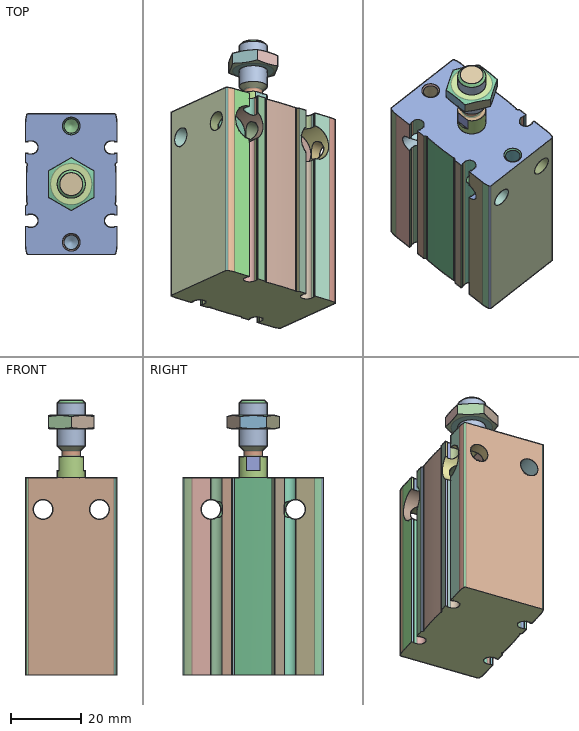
import cadquery as cq
import math


WIDTH = 26.0
LENGTH = 40.0
HOUSING_HEIGHT = 56.0
TOTAL_HEIGHT = 78.0
HALF_WIDTH = WIDTH / 2
HALF_LENGTH = LENGTH / 2

CORNER_RADIUS = 0.5
END_CURVE_START_Y = 17.4
END_CURVE_DROP = 0.3
PANEL_HALF_LENGTH = 5.35
PANEL_DEPTH = 0.22
PANEL_EDGE_DEPTH = 0.38
GROOVE_LEDGE_Y = 5.85
GROOVE_LEDGE_DEPTH = 0.4
GROOVE_OUTER_Y = 6.2
GROOVE_DEPTH = 0.55

SLOT_Y = 10.4
SLOT_DIAMETER = 3.6
SLOT_DEPTH = 3.55
SLOT_MOUTH = 3.2
SLOT_LIP = 0.75

CROSS_HOLE_DIAMETER = 5.5
CROSS_HOLE_Z = 47.0
FRONT_HOLE_X = 8.0
SIDE_HOLE_Y = 12.0
COUNTERBORE_DIAMETER = 10.0
COUNTERBORE_DEPTH = 8.0

TAP_HOLE_Y = 16.5
TAP_DIAMETER = 4.13
TAP_MOUTH_DIAMETER = 5.0
TAP_DEPTH = 6.0
DRILL_POINT_ANGLE = 118.0

ROD_DIAMETER = 8.0
TIP_DIAMETER = 6.5
NECK_DIAMETER = 5.33
NECK_FILLET = 0.2
SHOULDER_Z = 62.0
CONE_TOP_Z = 65.0
FLATS_WIDTH = 7.0
FLATS_HEIGHT = 4.0

NUT_ACROSS_FLATS = 13.0
NUT_THICKNESS = 4.0
NUT_BOTTOM_Z = 69.8
NUT_FACE_DIAMETER = 0.9 * NUT_ACROSS_FLATS
NUT_CHAMFER_ANGLE = 15.0


def housing_outline():
    """Half outline on the +X side, running from -Y to +Y, closed by mirroring to -X."""
    end_x = HALF_WIDTH - END_CURVE_DROP
    end_y = HALF_LENGTH - CORNER_RADIUS
    curve_length = end_y - END_CURVE_START_Y
    curve_middle = (HALF_WIDTH - END_CURVE_DROP / 4, END_CURVE_START_Y + curve_length / 2)
    ledge_x = HALF_WIDTH - GROOVE_LEDGE_DEPTH
    groove_x = HALF_WIDTH - GROOVE_DEPTH
    panel_edge_x = HALF_WIDTH - PANEL_EDGE_DEPTH
    corner_x = end_x - CORNER_RADIUS
    return (
        cq.Workplane("XY")
        .moveTo(0, -HALF_LENGTH)
        .lineTo(corner_x, -HALF_LENGTH)
        .radiusArc((end_x, -end_y), -CORNER_RADIUS)
        .threePointArc((curve_middle[0], -curve_middle[1]), (HALF_WIDTH, -END_CURVE_START_Y))
        .lineTo(HALF_WIDTH, -GROOVE_OUTER_Y)
        .lineTo(ledge_x, -GROOVE_LEDGE_Y)
        .lineTo(groove_x, -PANEL_HALF_LENGTH)
        .lineTo(panel_edge_x, -PANEL_HALF_LENGTH)
        .threePointArc((HALF_WIDTH - PANEL_DEPTH, 0), (panel_edge_x, PANEL_HALF_LENGTH))
        .lineTo(groove_x, PANEL_HALF_LENGTH)
        .lineTo(ledge_x, GROOVE_LEDGE_Y)
        .lineTo(HALF_WIDTH, GROOVE_OUTER_Y)
        .lineTo(HALF_WIDTH, END_CURVE_START_Y)
        .threePointArc(curve_middle, (end_x, end_y))
        .radiusArc((corner_x, HALF_LENGTH), -CORNER_RADIUS)
        .lineTo(0, HALF_LENGTH)
        .mirrorY()
    )


def sensor_slot(side, y):
    """Round-bottomed slot along the full height; side is +1 or -1 for the X face."""
    radius = SLOT_DIAMETER / 2
    round_x = HALF_WIDTH - SLOT_DEPTH + radius
    lip_x = HALF_WIDTH - SLOT_LIP
    channel_length = lip_x - round_x
    round_bottom = cq.Workplane("XY").center(side * round_x, y).circle(radius).extrude(HOUSING_HEIGHT)
    channel = (
        cq.Workplane("XY")
        .center(side * (round_x + channel_length / 2), y)
        .rect(channel_length, SLOT_DIAMETER)
        .extrude(HOUSING_HEIGHT)
    )
    mouth_length = HALF_WIDTH - round_x
    mouth = (
        cq.Workplane("XY")
        .center(side * (round_x + mouth_length / 2), y)
        .rect(mouth_length, SLOT_MOUTH)
        .extrude(HOUSING_HEIGHT)
    )
    return round_bottom.union(channel).union(mouth)


def front_hole(x):
    """Through hole along Y."""
    return (
        cq.Workplane("XZ", origin=(x, HALF_LENGTH, CROSS_HOLE_Z))
        .circle(CROSS_HOLE_DIAMETER / 2)
        .extrude(LENGTH)
    )


def side_hole(y):
    """Through hole along X, counterbored from the -X face."""
    start = cq.Workplane("YZ", origin=(-HALF_WIDTH, y, CROSS_HOLE_Z))
    bore = start.circle(CROSS_HOLE_DIAMETER / 2).extrude(WIDTH)
    counterbore = start.circle(COUNTERBORE_DIAMETER / 2).extrude(COUNTERBORE_DEPTH)
    return bore.union(counterbore)


def tapped_hole(y):
    """Blind hole with a drill point and a 45 degree mouth, revolved about its own axis."""
    radius = TAP_DIAMETER / 2
    mouth_radius = TAP_MOUTH_DIAMETER / 2
    point_depth = radius / math.tan(math.radians(DRILL_POINT_ANGLE / 2))
    profile = [
        (0, 0),
        (mouth_radius, 0),
        (radius, radius - mouth_radius),
        (radius, -TAP_DEPTH),
        (0, -TAP_DEPTH - point_depth),
    ]
    hole = cq.Workplane("XZ").polyline(profile).close().revolve(360, (0, 0), (0, 1))
    return hole.translate((0, y, HOUSING_HEIGHT))


def make_housing():
    body = housing_outline().extrude(HOUSING_HEIGHT)
    for y_side in (-1, 1):
        for x_side in (-1, 1):
            body = body.cut(sensor_slot(x_side, y_side * SLOT_Y))
        body = body.cut(front_hole(y_side * FRONT_HOLE_X))
        body = body.cut(side_hole(y_side * SIDE_HOLE_Y))
        body = body.cut(tapped_hole(y_side * TAP_HOLE_Y))
    return body


def make_rod():
    """Rod standing on the housing, with a filleted neck, wrench flats and a threaded end."""
    radius = ROD_DIAMETER / 2
    neck_radius = NECK_DIAMETER / 2
    tip_radius = TIP_DIAMETER / 2
    neck_top_z = CONE_TOP_Z - (radius - neck_radius)
    profile = [
        (0, HOUSING_HEIGHT),
        (radius, HOUSING_HEIGHT),
        (radius, SHOULDER_Z),
        (neck_radius, SHOULDER_Z),
        (neck_radius, neck_top_z),
        (radius, CONE_TOP_Z),
        (radius, TOTAL_HEIGHT - (radius - tip_radius)),
        (tip_radius, TOTAL_HEIGHT),
        (0, TOTAL_HEIGHT),
    ]
    rod = cq.Workplane("XZ").polyline(profile).close().revolve(360, (0, 0), (0, 1))
    neck_middle = (0, 0, (SHOULDER_Z + neck_top_z) / 2)
    neck_edges = rod.faces(cq.selectors.NearestToPointSelector(neck_middle)).edges("%CIRCLE")
    rod = neck_edges.fillet(NECK_FILLET)
    for side in (-1, 1):
        flat_cut = cq.Workplane("XY").box(ROD_DIAMETER, 2 * ROD_DIAMETER, FLATS_HEIGHT)
        flat_x = side * (FLATS_WIDTH + ROD_DIAMETER) / 2
        rod = rod.cut(flat_cut.translate((flat_x, 0, SHOULDER_Z - FLATS_HEIGHT / 2)))
    return rod


def make_nut():
    """Hexagon nut, corners on the Y axis, with both faces cut back to a cone."""
    corner_radius = NUT_ACROSS_FLATS / math.sqrt(3)
    face_radius = NUT_FACE_DIAMETER / 2
    corner_drop = (corner_radius - face_radius) * math.tan(math.radians(NUT_CHAMFER_ANGLE))
    top_z = NUT_BOTTOM_Z + NUT_THICKNESS
    hexagon = (
        cq.Workplane("XY", origin=(0, 0, NUT_BOTTOM_Z))
        .polygon(6, 2 * corner_radius)
        .extrude(NUT_THICKNESS)
        .rotate((0, 0, 0), (0, 0, 1), 90)
    )
    cone_profile = [
        (0, NUT_BOTTOM_Z),
        (face_radius, NUT_BOTTOM_Z),
        (corner_radius, NUT_BOTTOM_Z + corner_drop),
        (corner_radius, top_z - corner_drop),
        (face_radius, top_z),
        (0, top_z),
    ]
    envelope = cq.Workplane("XZ").polyline(cone_profile).close().revolve(360, (0, 0), (0, 1))
    thread_bore = (
        cq.Workplane("XY", origin=(0, 0, NUT_BOTTOM_Z))
        .circle(ROD_DIAMETER / 2)
        .extrude(NUT_THICKNESS)
    )
    return hexagon.intersect(envelope).cut(thread_bore)


housing = make_housing()
rod = make_rod()
nut = make_nut()

result = cq.Compound.makeCompound([housing.val(), rod.val(), nut.val()])